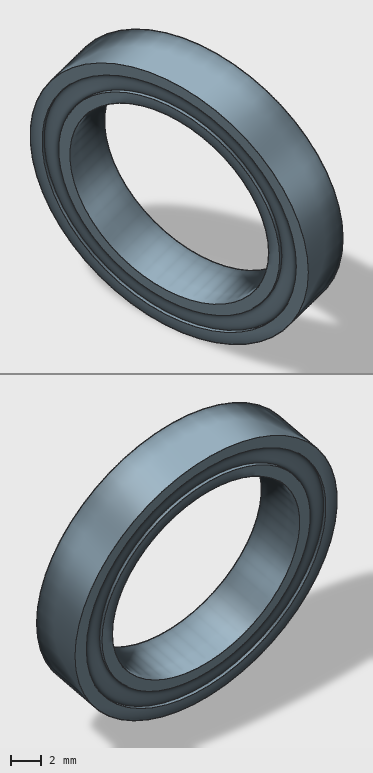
import cadquery as cq

outer_diameter = 22.23
bore_diameter = 15.87
width = 3.91

recess_outer_diameter = 20.32
recess_inner_diameter = 17.65
recess_depth = 0.25


def annulus(large_diameter, small_diameter, start_y, length):
    """Ring about the Y axis, extending from start_y towards +Y."""
    return (
        cq.Workplane("XZ", origin=(0, start_y, 0))
        .circle(large_diameter / 2)
        .circle(small_diameter / 2)
        .extrude(-length)
    )


result = annulus(outer_diameter, bore_diameter, -width / 2, width)

for recess_start in (-width / 2, width / 2 - recess_depth):
    recess = annulus(recess_outer_diameter, recess_inner_diameter, recess_start, recess_depth)
    result = result.cut(recess)